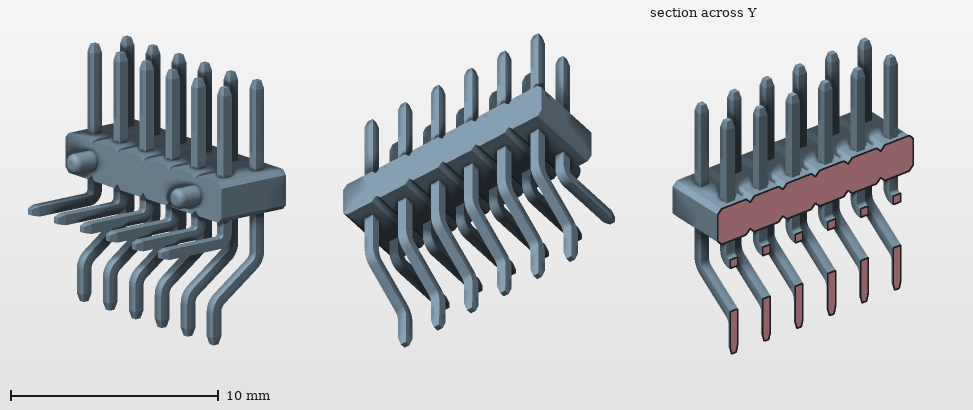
import cadquery as cq
import math

pitch = 2.0
columns = 6
housing_depth = 4.0
housing_height = 2.0
cell_chamfer = 0.25

pin_width = 0.5
tip_width = 0.3
tip_length = 0.4
pin_rise = 4.45
front_row_y = -pitch / 2
back_row_y = pitch / 2

front_leg_drop = 1.27
front_leg_reach = 3.0
front_inner_radius = 0.2

back_leg_drop = 6.3
back_jog_start = 2.47
back_jog_shift = 2.65
back_jog_angle = 55.3
back_inner_radius = 0.5

peg_diameter = 1.0
peg_length = 1.3
peg_round = 0.3
peg_spacing = 4 * pitch

housing_length = columns * pitch
housing_top = housing_height / 2
housing_bottom = -housing_height / 2
housing_front = -housing_depth / 2
pin_top = housing_top + pin_rise
column_xs = [(i - (columns - 1) / 2) * pitch for i in range(columns)]


def make_housing():
    """Chamfered cells side by side, leaving V grooves between the columns."""
    cell = (
        cq.Workplane("XY")
        .box(pitch, housing_depth, housing_height)
        .edges("|Y")
        .chamfer(cell_chamfer)
    )
    housing = cq.Workplane("XY")
    for x in column_xs:
        housing = housing.union(cell.translate((x, 0, 0)))
    return housing


def direction(start, end):
    """Unit vector from one (y, z) point to another."""
    length = math.dist(start, end)
    return ((end[0] - start[0]) / length, (end[1] - start[1]) / length)


def along(point, heading, distance):
    """The (y, z) point at a distance from another along a heading."""
    return (point[0] + heading[0] * distance, point[1] + heading[1] * distance)


def make_tip(base, heading):
    """Square taper that starts at a (y, z) point and narrows along a heading."""
    plane = cq.Plane(
        origin=(0, base[0], base[1]),
        xDir=(1, 0, 0),
        normal=(0, heading[0], heading[1]),
    )
    return (
        cq.Workplane(plane)
        .rect(pin_width, pin_width)
        .workplane(offset=tip_length)
        .rect(tip_width, tip_width)
        .loft(ruled=True)
    )


def make_pin(axis_points, inner_radius):
    """Square wire along (y, z) axis points, from top tip to bottom tip, with rounded bends."""
    bend_radius = inner_radius + pin_width / 2
    up = direction(axis_points[1], axis_points[0])
    out = direction(axis_points[-2], axis_points[-1])
    wire_start = along(axis_points[0], up, -tip_length)
    wire_end = along(axis_points[-1], out, -tip_length)

    path = cq.Workplane("YZ").moveTo(*wire_start)
    for before, corner, after in zip(axis_points, axis_points[1:], axis_points[2:]):
        heading_in = direction(before, corner)
        heading_out = direction(corner, after)
        cosine = heading_in[0] * heading_out[0] + heading_in[1] * heading_out[1]
        setback = bend_radius * math.tan(math.acos(cosine) / 2)
        path = path.lineTo(*along(corner, heading_in, -setback))
        path = path.tangentArcPoint(along(corner, heading_out, setback), relative=False)
    path = path.lineTo(*wire_end)

    wire = (
        cq.Workplane("XY", origin=(0, wire_start[0], wire_start[1]))
        .rect(pin_width, pin_width)
        .sweep(path)
    )
    return wire.union(make_tip(wire_start, up)).union(make_tip(wire_end, out))


def make_front_pin():
    leg_z = housing_bottom - front_leg_drop
    axis_points = [
        (front_row_y, pin_top),
        (front_row_y, leg_z),
        (housing_front - front_leg_reach, leg_z),
    ]
    return make_pin(axis_points, front_inner_radius)


def make_back_pin():
    jog_top = housing_bottom - back_jog_start
    jog_bottom = jog_top - back_jog_shift / math.tan(math.radians(back_jog_angle))
    foot_y = back_row_y - back_jog_shift
    axis_points = [
        (back_row_y, pin_top),
        (back_row_y, jog_top),
        (foot_y, jog_bottom),
        (foot_y, housing_bottom - back_leg_drop),
    ]
    return make_pin(axis_points, back_inner_radius)


def make_peg():
    """Peg pointing forward from the housing front, with a rounded end."""
    return (
        cq.Workplane("XZ", origin=(0, housing_front, 0))
        .circle(peg_diameter / 2)
        .extrude(peg_length)
        .faces("<Y")
        .edges()
        .fillet(peg_round)
    )


result = make_housing()

peg = make_peg()
for peg_x in (-peg_spacing / 2, peg_spacing / 2):
    result = result.union(peg.translate((peg_x, 0, 0)))

front_pin = make_front_pin()
back_pin = make_back_pin()
for column_x in column_xs:
    result = result.union(front_pin.translate((column_x, 0, 0)))
    result = result.union(back_pin.translate((column_x, 0, 0)))